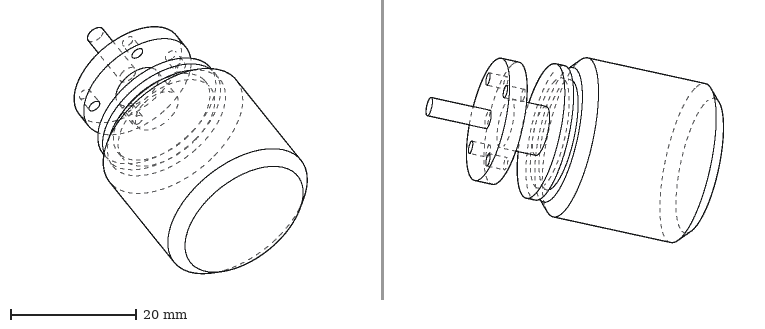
import cadquery as cq


shaft_diameter = 3.0
shaft_length = 10.0
flange_diameter = 20.0
flange_thickness = 3.0
bolt_hole_diameter = 2.0
bolt_circle_diameter = 16.0
bolt_hole_count = 4

neck_diameter = 8.0
neck_length = 6.0
disc_diameter = 22.0
disc_thickness = 1.5
collar_diameter = 18.0
collar_length = 1.5

body_diameter = 26.0
body_length = 24.0
body_chamfer = 2.0

flange_x = shaft_length
neck_x = flange_x + flange_thickness
disc_x = neck_x + neck_length
collar_x = disc_x + disc_thickness
body_x = collar_x + collar_length


def cylinder(start_x, diameter, length):
    """Cylinder on the motor axis, running toward +X from start_x."""
    return cq.Workplane("YZ", origin=(start_x, 0, 0)).circle(diameter / 2).extrude(length)


def make_flange():
    """Mounting flange with through bolt holes on the Y and Z axes."""
    holes = (
        cq.Workplane("YZ", origin=(flange_x, 0, 0))
        .polarArray(bolt_circle_diameter / 2, 0, 360, bolt_hole_count)
        .circle(bolt_hole_diameter / 2)
        .extrude(flange_thickness)
    )
    return cylinder(flange_x, flange_diameter, flange_thickness).cut(holes)


def make_body():
    """Cylindrical can, chamfered at both end rims."""
    return cylinder(body_x, body_diameter, body_length).faces("<X or >X").chamfer(body_chamfer)


result = (
    cylinder(0, shaft_diameter, shaft_length)
    .union(make_flange())
    .union(cylinder(neck_x, neck_diameter, neck_length))
    .union(cylinder(disc_x, disc_diameter, disc_thickness))
    .union(cylinder(collar_x, collar_diameter, collar_length))
    .union(make_body())
)